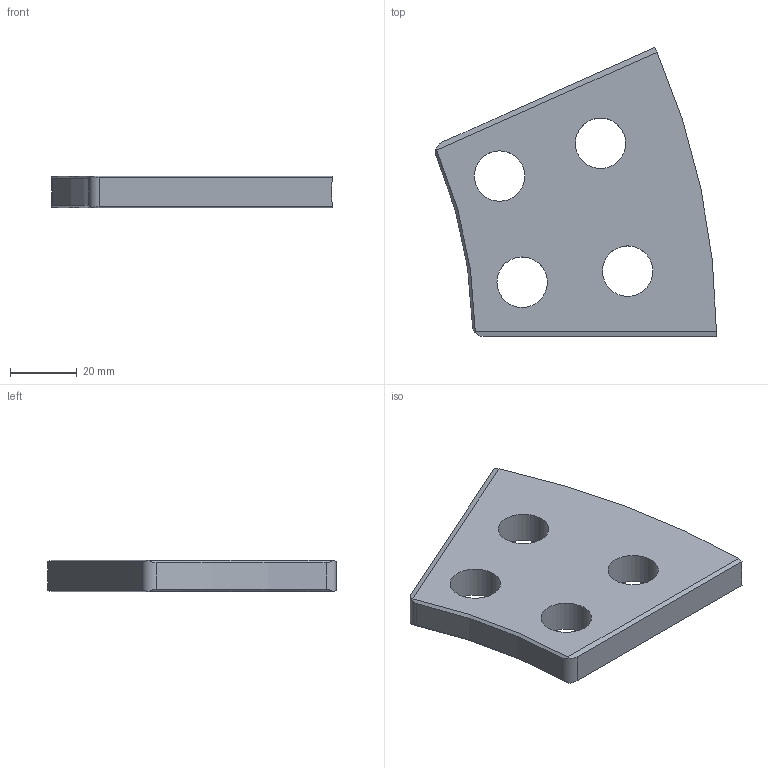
import cadquery as cq
import math

outer_radius = 212.85
inner_radius = 139.82
sector_angle = 24.0
thickness = 9.49

outer_hollow_depth = 0.25

corner_radius = 3.2
side_chamfer_width = 1.55
side_chamfer_height = 0.38
inner_chamfer = 0.8

hole_diameter = 15.1
hole_circle_radii = (155.5, 187.3)
hole_angles = (sector_angle / 4, 3 * sector_angle / 4)


def polar(radius, angle):
    """Point at a radius and an angle in degrees about the sector centre."""
    return (radius * math.cos(math.radians(angle)), radius * math.sin(math.radians(angle)))


def sector_plate():
    """Annular sector with a slightly hollow outer face and rounded inner corners."""
    plate = (
        cq.Workplane("XZ")
        .moveTo(inner_radius, 0)
        .lineTo(outer_radius, 0)
        .threePointArc((outer_radius - outer_hollow_depth, thickness / 2), (outer_radius, thickness))
        .lineTo(inner_radius, thickness)
        .close()
        .revolve(sector_angle, (0, 0, 0), (0, 1, 0))
    )
    for angle in (0, sector_angle):
        corner = polar(inner_radius, angle) + (thickness / 2,)
        plate = plate.edges(cq.NearestToPointSelector(corner)).fillet(corner_radius)
    return plate


def side_wedge():
    """Cutter for the bevel on the top edge of the side lying along +X."""
    return (
        cq.Workplane("YZ")
        .moveTo(0, thickness - side_chamfer_height)
        .lineTo(side_chamfer_width, thickness)
        .lineTo(0, thickness)
        .close()
        .extrude(outer_radius + side_chamfer_width)
    )


def inner_ring():
    """Cutter for the chamfer on the top edge of the inner arc."""
    return (
        cq.Workplane("XZ")
        .moveTo(inner_radius, thickness - inner_chamfer)
        .lineTo(inner_radius + inner_chamfer, thickness)
        .lineTo(inner_radius - inner_chamfer, thickness)
        .lineTo(inner_radius - inner_chamfer, thickness - inner_chamfer)
        .close()
        .revolve(360, (0, 0, 0), (0, 1, 0))
    )


def hole_pattern():
    """Cylinders for the holes, one row on each hole circle."""
    centers = [polar(radius, angle) for radius in hole_circle_radii for angle in hole_angles]
    return cq.Workplane("XY").pushPoints(centers).circle(hole_diameter / 2).extrude(thickness)


def bevel_cutters():
    """Top-edge cutters for both radial sides and the inner arc."""
    lower = side_wedge()
    upper = lower.mirror("XZ").rotate((0, 0, 0), (0, 0, 1), sector_angle)
    return [lower, upper, inner_ring()]


result = sector_plate().cut(hole_pattern())
for cutter in bevel_cutters():
    mirrored = cutter.mirror("XY").translate((0, 0, thickness))
    result = result.cut(cutter).cut(mirrored)